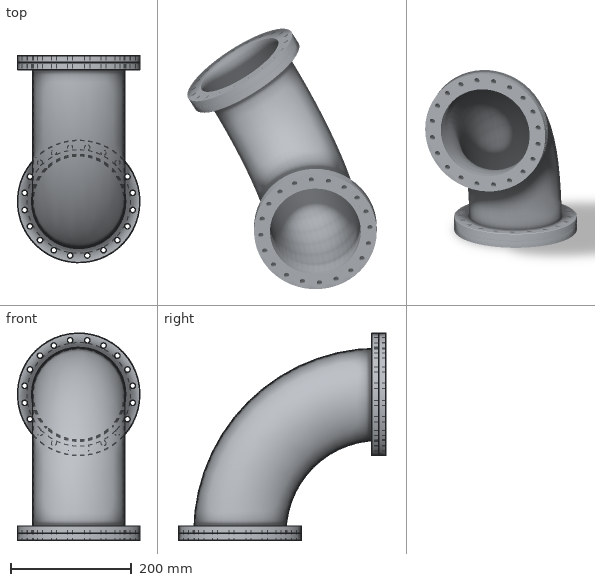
import cadquery as cq

ELBOW_ANGLE = 90
OVERALL_LENGTH = 342.8
FLANGE_DIAMETER = 203.0
FLANGE_THICKNESS = 24.0
CENTRE_TO_FACE = OVERALL_LENGTH - FLANGE_DIAMETER / 2

PIPE_OUTER_DIAMETER = 153.0
PIPE_INNER_DIAMETER = 150.0

INSERT_DIAMETER = 171.5
INSERT_THICKNESS = 12.5
BEND_RADIUS = CENTRE_TO_FACE - INSERT_THICKNESS

RING_BORE_DIAMETER = 156.0
BOLT_COUNT = 20
BOLT_HOLE_DIAMETER = 8.5
BOLT_CIRCLE_DIAMETER = 181.0
RIM_CHAMFER = 0.7
GROOVE_WIDTH = 1.0
GROOVE_DEPTH = 0.7
GROOVE_HEIGHT = 11.5


def annulus(outer_diameter, inner_diameter, height):
    """Flat ring standing on the XY plane, centred on Z."""
    return cq.Workplane("XY").circle(outer_diameter / 2).circle(inner_diameter / 2).extrude(height)


def make_pipe():
    """Quarter-circle pipe, from the lower insert up and over toward +Y."""
    return (
        cq.Workplane("XY", origin=(0, 0, INSERT_THICKNESS))
        .circle(PIPE_OUTER_DIAMETER / 2)
        .circle(PIPE_INNER_DIAMETER / 2)
        .revolve(ELBOW_ANGLE, (0, BEND_RADIUS, 0), (-1, BEND_RADIUS, 0))
    )


def make_insert():
    """Plain ring, flush with the mating face, that the pipe end rests on."""
    return annulus(INSERT_DIAMETER, PIPE_INNER_DIAMETER, INSERT_THICKNESS)


def bolt_holes():
    """Cutters for the bolt circle, with a gap between two holes on each axis."""
    first_angle = 180 / BOLT_COUNT
    return (
        cq.Workplane("XY")
        .polarArray(BOLT_CIRCLE_DIAMETER / 2, first_angle, 360, BOLT_COUNT)
        .circle(BOLT_HOLE_DIAMETER / 2)
        .extrude(FLANGE_THICKNESS)
    )


def rim_groove():
    """Cutter for the shallow groove around the rim."""
    groove_floor_diameter = FLANGE_DIAMETER - 2 * GROOVE_DEPTH
    groove_bottom = GROOVE_HEIGHT - GROOVE_WIDTH / 2
    return annulus(FLANGE_DIAMETER, groove_floor_diameter, GROOVE_WIDTH).translate((0, 0, groove_bottom))


def make_flange_ring():
    """Rotatable bolt ring, recessed from the mating face to hold the insert."""
    blank = cq.Workplane("XY").circle(FLANGE_DIAMETER / 2).extrude(FLANGE_THICKNESS)
    blank = blank.faces(">Z").edges().chamfer(RIM_CHAMFER)
    bore = cq.Workplane("XY").circle(RING_BORE_DIAMETER / 2).extrude(FLANGE_THICKNESS)
    insert_recess = cq.Workplane("XY").circle(INSERT_DIAMETER / 2).extrude(INSERT_THICKNESS)
    return blank.cut(bore).cut(insert_recess).cut(bolt_holes()).cut(rim_groove())


def move_to_far_end(body):
    """Turn a body of the lower flange to face +Y and carry it to the upper pipe end."""
    turned = body.rotate((0, 0, 0), (1, 0, 0), ELBOW_ANGLE)
    return turned.translate((0, CENTRE_TO_FACE, CENTRE_TO_FACE))


bodies = [make_pipe().val()]
for make_body in (make_flange_ring, make_insert):
    lower_body = make_body()
    upper_body = move_to_far_end(lower_body)
    bodies += [lower_body.val(), upper_body.val()]

result = cq.Compound.makeCompound(bodies)